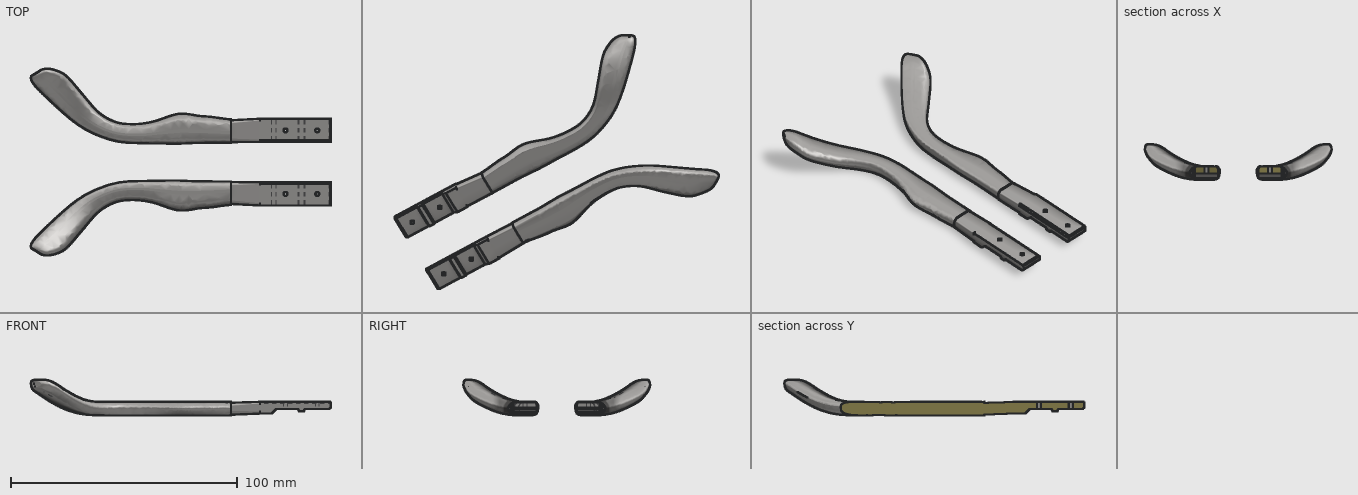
import cadquery as cq


LENGTH = 132.3
INNER_Y = 8.9
OUTER_Y = 19.2
TOP_Z = 6.1
TANG_UNDERSIDE_Z = 2.8
COLLAR_UNDERSIDE_Z = 0.8
COLLAR_START_X = 101.0
COLLAR_END_X = 103.4
HEEL_END_X = 106.2
EDGE_CHAMFER = 0.8
TANG_END_LOWER_CHAMFER = 0.8
TANG_END_UPPER_CHAMFER = 0.4

HOLE_DIAMETER = 1.6
HOLE_XS = (112.3, 126.3)
HOLE_Y = (INNER_Y + OUTER_Y) / 2
RIDGE_X = sum(HOLE_XS) / 2
RIDGE_ROOT_WIDTH = 3.0
RIDGE_CREST_WIDTH = 2.1
RIDGE_HEIGHT = 0.9

SLEEVE_START_X = 88.2
SLEEVE_START_INNER_Y = 8.7
SLEEVE_START_OUTER_Y = 18.5
SLEEVE_START_BOTTOM_Z = 0.3
SLEEVE_START_TOP_Z = 5.7
SLEEVE_START_RADIUS = 1.6
SLEEVE_END_RADIUS = 0.9

GRIP_HEIGHT = 6.1
MID_Z = GRIP_HEIGHT / 2
FLAT_START = 0.36
FLAT_END = 0.48
SEAM_RISE = 0.25
SUPERELLIPSE_EXPONENT = 2.7
SHOULDER = 0.5 ** (1 / SUPERELLIPSE_EXPONENT)

GRIP_STATIONS = (
    ((SLEEVE_START_X, 8.5), (SLEEVE_START_X, 18.9), MID_Z, GRIP_HEIGHT),
    ((82.7, 8.5), (82.7, 19.6), MID_Z, GRIP_HEIGHT),
    ((77.0, 8.5), (77.0, 20.2), MID_Z, GRIP_HEIGHT),
    ((71.4, 8.3), (71.4, 20.9), MID_Z, GRIP_HEIGHT),
    ((66.1, 8.1), (66.1, 21.4), MID_Z, GRIP_HEIGHT),
    ((60.8, 8.1), (60.8, 20.2), MID_Z, GRIP_HEIGHT),
    ((55.5, 8.2), (55.5, 18.4), MID_Z, GRIP_HEIGHT),
    ((50.3, 8.2), (50.3, 17.2), MID_Z, GRIP_HEIGHT),
    ((44.6, 8.3), (45.2, 16.8), MID_Z, GRIP_HEIGHT),
    ((38.4, 9.0), (40.3, 17.0), MID_Z, GRIP_HEIGHT),
    ((31.7, 10.8), (35.7, 18.4), MID_Z, GRIP_HEIGHT),
    ((24.5, 14.2), (30.4, 21.5), 3.2, GRIP_HEIGHT),
    ((18.5, 18.1), (26.0, 26.0), 4.0, GRIP_HEIGHT),
    ((13.2, 22.6), (21.8, 31.1), 5.7, GRIP_HEIGHT),
    ((8.0, 27.5), (17.2, 36.5), 8.3, GRIP_HEIGHT),
    ((3.5, 31.9), (12.8, 39.8), 11.2, GRIP_HEIGHT),
    ((0.3, 36.0), (8.7, 41.1), 13.2, 5.2),
    ((1.5, 38.6), (4.6, 40.7), 13.8, 2.1),
)


def grip_section(convex_point, concave_point, mid_z, height):
    """An upright rounded wire that spans the two plan points, with a seam on its convex side."""
    convex = cq.Vector(*convex_point, mid_z)
    span = cq.Vector(*concave_point, mid_z) - convex
    across = span.normalized()
    up = cq.Vector(0, 0, 1)
    rise = height / 2
    flat_near = span.Length * FLAT_START
    flat_far = span.Length * FLAT_END

    def point(distance, z):
        return convex + across * distance + up * z

    def flank(flat_edge, side, seam_z):
        """Curve points from the top flat, out round one side and back to the bottom flat."""
        shoulder = flat_edge + SHOULDER * (side - flat_edge)
        return [
            point(flat_edge, rise),
            point(shoulder, seam_z + SHOULDER * (rise - seam_z)),
            point(side, seam_z),
            point(shoulder, seam_z - SHOULDER * (rise + seam_z)),
            point(flat_edge, -rise),
        ]

    concave_side = flank(flat_far, span.Length, 0)
    convex_side = flank(flat_near, 0, SEAM_RISE * rise)
    return cq.Wire.assembleEdges([
        cq.Edge.makeLine(point(flat_near, rise), point(flat_far, rise)),
        cq.Edge.makeSpline(concave_side, tangents=[across, -across]),
        cq.Edge.makeLine(point(flat_far, -rise), point(flat_near, -rise)),
        cq.Edge.makeSpline(convex_side[:1:-1], tangents=[-across, up]),
        cq.Edge.makeSpline(convex_side[2::-1], tangents=[up, across]),
    ])


def make_handle():
    """Smooth loft through the stations, closed by flat ends."""
    sections = [grip_section(*station) for station in GRIP_STATIONS]
    return cq.Workplane(cq.occ_impl.shapes.loft(sections, cap=True, continuity="C1"))


def rounded_rectangle(y_range, z_range, radius, x):
    """A rounded rectangle across the arm, x along it, for lofting."""
    width = y_range[1] - y_range[0]
    height = z_range[1] - z_range[0]
    outline = cq.Sketch().rect(width, height).vertices().fillet(radius)
    return outline.moved(cq.Location(cq.Vector(sum(y_range) / 2, sum(z_range) / 2, x)))


def make_sleeve():
    """Blend from just inside the handle outline to the collar rectangle."""
    handle_end = rounded_rectangle(
        (SLEEVE_START_INNER_Y, SLEEVE_START_OUTER_Y),
        (SLEEVE_START_BOTTOM_Z, SLEEVE_START_TOP_Z),
        SLEEVE_START_RADIUS,
        SLEEVE_START_X,
    )
    collar_end = rounded_rectangle(
        (INNER_Y, OUTER_Y), (COLLAR_UNDERSIDE_Z, TOP_Z), SLEEVE_END_RADIUS, COLLAR_START_X
    )
    return cq.Workplane("YZ").placeSketch(handle_end, collar_end).loft()


def chamfered_bar(side_profile):
    """The side profile spread over the tang width, with its upper inner edge chamfered."""
    bar = (
        cq.Workplane("XZ", origin=(0, INNER_Y, 0))
        .polyline(side_profile)
        .close()
        .extrude(INNER_Y - OUTER_Y)
    )
    return bar.faces("<Y").edges("|X and >Z").chamfer(EDGE_CHAMFER)


def make_collar():
    """Short full-depth block between the sleeve and the tang."""
    return chamfered_bar([
        (COLLAR_START_X, TOP_Z),
        (COLLAR_END_X, TOP_Z),
        (COLLAR_END_X, COLLAR_UNDERSIDE_Z),
        (COLLAR_START_X, COLLAR_UNDERSIDE_Z),
    ])


def make_tang():
    """Heel that slopes at 45 degrees up to a thin plate with a ridge below and two holes."""
    heel_slope = TANG_UNDERSIDE_Z - COLLAR_UNDERSIDE_Z
    ridge_z = TANG_UNDERSIDE_Z - RIDGE_HEIGHT
    tang = chamfered_bar([
        (COLLAR_END_X, TOP_Z),
        (LENGTH - TANG_END_UPPER_CHAMFER, TOP_Z),
        (LENGTH, TOP_Z - TANG_END_UPPER_CHAMFER),
        (LENGTH, TANG_UNDERSIDE_Z + TANG_END_LOWER_CHAMFER),
        (LENGTH - TANG_END_LOWER_CHAMFER, TANG_UNDERSIDE_Z),
        (RIDGE_X + RIDGE_ROOT_WIDTH / 2, TANG_UNDERSIDE_Z),
        (RIDGE_X + RIDGE_CREST_WIDTH / 2, ridge_z),
        (RIDGE_X - RIDGE_CREST_WIDTH / 2, ridge_z),
        (RIDGE_X - RIDGE_ROOT_WIDTH / 2, TANG_UNDERSIDE_Z),
        (HEEL_END_X + heel_slope, TANG_UNDERSIDE_Z),
        (HEEL_END_X, COLLAR_UNDERSIDE_Z),
        (COLLAR_END_X, COLLAR_UNDERSIDE_Z),
    ])
    hole_places = [(x, HOLE_Y) for x in HOLE_XS]
    holes = cq.Workplane("XY").pushPoints(hole_places).circle(HOLE_DIAMETER / 2).extrude(TOP_Z)
    return tang.cut(holes)


def make_arm():
    """One arm on the +Y side, built as a single solid from handle to tang."""
    arm = make_handle()
    for section in (make_sleeve(), make_collar(), make_tang()):
        arm = arm.union(section, clean=False)
    return arm


base_arm = make_arm().val()
arms = []
for mirrored in (False, True):
    arms.append(base_arm.mirror("XZ") if mirrored else base_arm)

result = cq.Compound.makeCompound(arms)